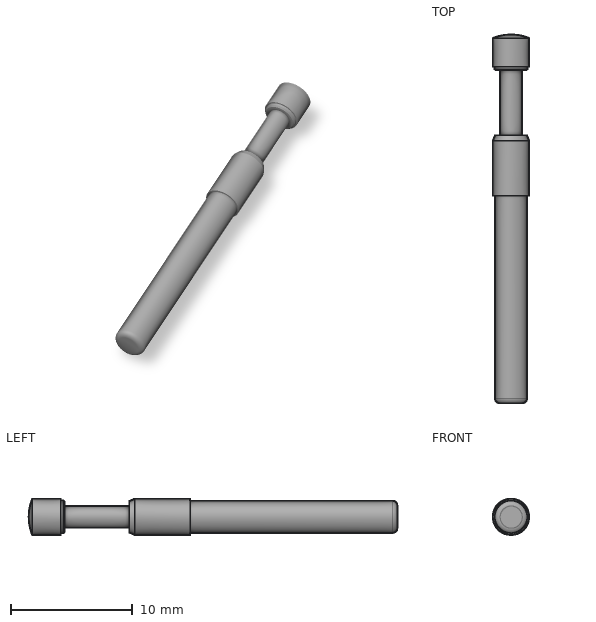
import cadquery as cq

total_length = 30.3
sleeve_radius = 1.5
body_radius = 1.33
shaft_radius = 0.9

sleeve_start = 17.03
sleeve_end = 22.03
head_start = 27.33
head_rim = 30.0

tip_fillet = 0.42
sleeve_chamfer_length = 0.45
sleeve_end_radius = 1.3
head_step_height = 0.3
head_step_radius = 1.35
head_step_chamfer = 0.12


def bar(radius, start, end):
    """Round bar along +Y between two axial positions."""
    length = end - start
    return cq.Workplane("XZ", origin=(0, start, 0)).circle(radius).extrude(-length)


def make_body():
    """Front barrel with a rounded tip."""
    return bar(body_radius, 0, sleeve_start).faces("<Y").edges().fillet(tip_fillet)


def make_sleeve():
    """Collar whose rear edge is tapered."""
    sleeve = bar(sleeve_radius, sleeve_start, sleeve_end)
    cutter = (
        cq.Workplane("XY")
        .moveTo(sleeve_radius, sleeve_end - sleeve_chamfer_length)
        .lineTo(sleeve_radius, sleeve_end)
        .lineTo(sleeve_end_radius, sleeve_end)
        .close()
        .revolve(360, (0, 0, 0), (0, 1, 0))
    )
    return sleeve.cut(cutter)


def make_head():
    """Head with a chamfered step underneath and a domed end."""
    dome_height = total_length - head_rim
    dome_radius = (sleeve_radius**2 + dome_height**2) / (2 * dome_height)
    half_chord = sleeve_radius / 2
    dome_mid = total_length - dome_radius + (dome_radius**2 - half_chord**2) ** 0.5
    return (
        cq.Workplane("XY")
        .moveTo(0, head_start)
        .lineTo(head_step_radius - head_step_chamfer, head_start)
        .lineTo(head_step_radius, head_start + head_step_chamfer)
        .lineTo(head_step_radius, head_start + head_step_height)
        .lineTo(sleeve_radius, head_start + head_step_height)
        .lineTo(sleeve_radius, head_rim)
        .threePointArc((half_chord, dome_mid), (0, total_length))
        .close()
        .revolve(360, (0, 0, 0), (0, 1, 0))
    )


shaft = bar(shaft_radius, sleeve_end, head_start)
result = make_body().union(make_sleeve()).union(shaft).union(make_head())